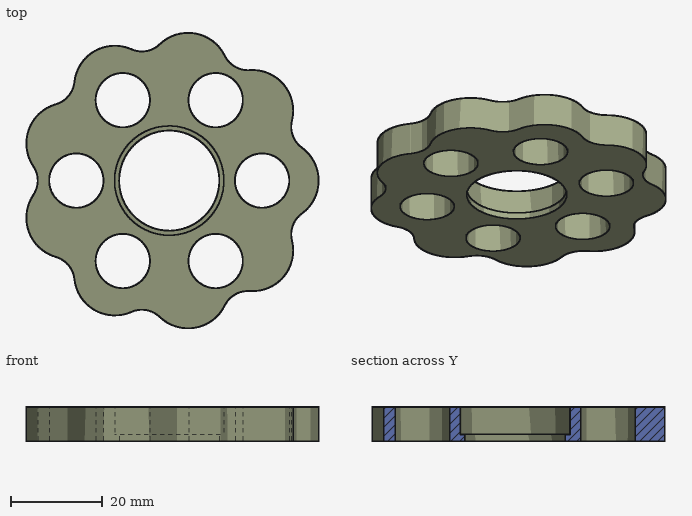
import cadquery as cq
import math

overall_width = 64.5
thickness = 7.5
lobe_count = 9
lobe_radius = 8.9
valley_distance = 28.7

bore_diameter = 21.8
counterbore_diameter = 23.9
counterbore_depth = 6.0

ring_hole_count = 6
ring_hole_diameter = 11.8
ring_radius = 20.25

lobe_pitch = 360 / lobe_count
half_pitch = lobe_pitch / 2

widest_lobe_angle = lobe_pitch * round(90 / lobe_pitch)
lobe_center_distance = (overall_width / 2 - lobe_radius) / math.sin(math.radians(widest_lobe_angle))
tip_distance = lobe_center_distance + lobe_radius


def polar(distance, degrees):
    angle = math.radians(degrees)
    return (distance * math.cos(angle), distance * math.sin(angle))


def find_valley_radius():
    """Radius of the concave arc tangent to both neighbouring lobes.

    The arc centre lies at valley_distance + radius, midway between the lobes,
    and tangency puts it lobe_radius + radius away from each lobe centre.
    """
    cos_half = math.cos(math.radians(half_pitch))
    gap_squared = (
        valley_distance**2
        + lobe_center_distance**2
        - 2 * valley_distance * lobe_center_distance * cos_half
    )
    divisor = 2 * (lobe_radius + lobe_center_distance * cos_half - valley_distance)
    return (gap_squared - lobe_radius**2) / divisor


def find_tangent_point(valley_radius):
    """Distance and angle, from the first lobe's axis, where lobe meets valley."""
    lobe_x = lobe_center_distance
    valley_x, valley_y = polar(valley_distance + valley_radius, half_pitch)
    fraction = lobe_radius / (lobe_radius + valley_radius)
    x = lobe_x + fraction * (valley_x - lobe_x)
    y = fraction * valley_y
    return math.hypot(x, y), math.degrees(math.atan2(y, x))


def make_plate():
    tangent_distance, tangent_angle = find_tangent_point(find_valley_radius())
    outline = cq.Workplane("XY").moveTo(*polar(tangent_distance, -tangent_angle))
    for index in range(lobe_count):
        axis = index * lobe_pitch
        lobe_end = polar(tangent_distance, axis + tangent_angle)
        next_lobe_start = polar(tangent_distance, axis + lobe_pitch - tangent_angle)
        outline = outline.threePointArc(polar(tip_distance, axis), lobe_end)
        outline = outline.threePointArc(polar(valley_distance, axis + half_pitch), next_lobe_start)
    return outline.close().extrude(thickness)


def cut_center_bore(plate):
    return plate.faces(">Z").workplane(origin=(0, 0, thickness)).cboreHole(
        bore_diameter, counterbore_diameter, counterbore_depth
    )


def cut_ring_holes(plate):
    return (
        plate.faces(">Z")
        .workplane(origin=(0, 0, thickness))
        .polarArray(ring_radius, 0, 360, ring_hole_count)
        .hole(ring_hole_diameter)
    )


result = cut_ring_holes(cut_center_bore(make_plate()))